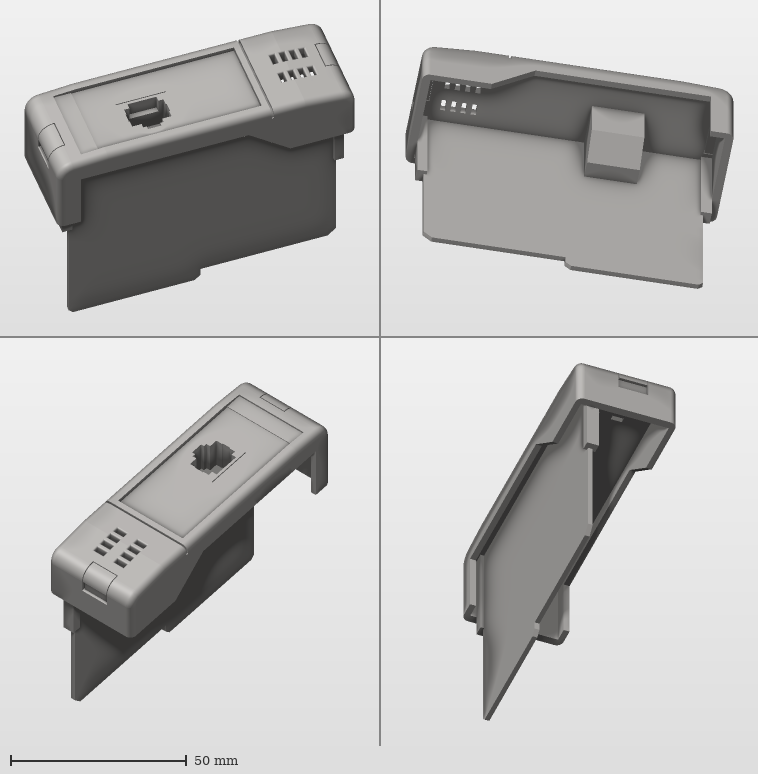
import cadquery as cq
import math


WIDTH = 30.5
LENGTH = 90.0
FRONT_END_DEPTH = 25.0
REAR_END_DEPTH = 17.4
FRONT_SLOPE_LENGTH = 14.9
FRONT_SLOPE_DROP = 1.1
FRONT_CORNER_RADIUS = 4.8
REAR_SLOPE_LENGTH = 15.2
REAR_SLOPE_DROP = 1.5
REAR_CORNER_RADIUS = 4.1
EDGE_RADIUS = 2.1
SIDE_WALL = 1.8
END_WALL = 2.4
CEILING_Z = -3.15

SIDE_OPENING_TOP_Z = -7.1
SIDE_OPENING_FRONT_Y = 6.75
SIDE_OPENING_SLOPE_START_Y = 57.5
SIDE_OPENING_SLOPE_END_Y = 70.1

PANEL_MARGIN = 3.4
PANEL_FRONT_Y = 8.0
PANEL_REAR_Y = 62.6
PANEL_DEPTH = 1.35
PANEL_STEP_Y = 13.4
PANEL_STEP_HEIGHT = 0.3

GROOVE_WIDTH = 0.7
GROOVE_FRONT_Y = 64.4
GROOVE_TOP_DEPTH = 0.8
GROOVE_SIDE_DEPTH = 0.3
GROOVE_END_Z = -2.6

LATCH_WIDTH = 9.1
LATCH_DEPTH = 0.9
LATCH_LENGTH = 5.0
LATCH_SLOT = 0.3
LATCH_BOTTOM_Z = -9.0
FRONT_LATCH_X = 13.0
REAR_LATCH_X = 9.0

WINDOW_ROWS = 4
WINDOW_WIDTH = 3.4
WINDOW_HEIGHT = 1.5
WINDOW_RIM_RADIUS = 0.45
WINDOW_COLUMNS_X = (11.3, 18.7)
WINDOW_FIRST_Y = 71.9
WINDOW_PITCH = 3.0

BOARD_X = 24.3
BOARD_THICKNESS = 1.4
BOARD_FRONT_Y = 4.8
BOARD_REAR_Y = 85.6
BOARD_BOTTOM_Z = -68.1
BOARD_STEP_Y = 44.55
BOARD_STEP_HEIGHT = 4.05
BOARD_FRONT_CHAMFER = 1.3
BOARD_STEP_CHAMFER = 1.6
BOARD_REAR_CHAMFER = 2.4

GUIDE_WIDTH = 3.6
GUIDE_BOTTOM_Z = -31.8
FRONT_GUIDE_INNER_Y = 5.6
REAR_GUIDE_INNER_Y = 84.7

JACK_LEFT_X = 11.9
JACK_FRONT_Y = 23.9
JACK_REAR_Y = 39.15
JACK_OUTER_BOTTOM_Z = -15.1
JACK_INNER_BOTTOM_Z = -20.7
JACK_SLOPE_RUN = 7.6
JACK_GAP = 0.3
SOCKET_DEPTH = 9.9
SOCKET_MAIN_LEFT_X = 14.3
SOCKET_STEPS = ((21.15, 11.9), (22.5, 6.2), (23.6, 4.05))
SOCKET_BULGE_LEFT_X = 16.2
SOCKET_BULGE_RIGHT_X = 19.1
SOCKET_BULGE_WIDTH = 12.4
SOCKET_SLOT_LEFT_X = 12.7
SOCKET_SLOT_WIDTH = 8.7
SOCKET_SLOT_DEPTH = 4.5


def block(x0, x1, y0, y1, z0, z1):
    """Box between two opposite corners."""
    return cq.Workplane("XY").box(x1 - x0, y1 - y0, z1 - z0, centered=False).translate((x0, y0, z0))


def profile_block():
    """Side profile of the housing with its rounded end corners, over the full width."""
    profile = [
        (0, -FRONT_END_DEPTH),
        (0, -FRONT_SLOPE_DROP),
        (FRONT_SLOPE_LENGTH, 0),
        (LENGTH - REAR_SLOPE_LENGTH, 0),
        (LENGTH, -REAR_SLOPE_DROP),
        (LENGTH, -FRONT_END_DEPTH),
    ]
    body = cq.Workplane("YZ").polyline(profile).close().extrude(WIDTH)
    body = body.faces("<Y").edges(">Z").fillet(FRONT_CORNER_RADIUS)
    return body.faces(">Y").edges(">Z").fillet(REAR_CORNER_RADIUS)


def shell():
    """Rounded cover, open below, with the lower edge of its sides cut away."""
    body = profile_block()
    body = body.faces("<X or >X").edges("not <Z").fillet(EDGE_RADIUS)
    cavity = block(SIDE_WALL, WIDTH - SIDE_WALL, END_WALL, LENGTH - END_WALL, -FRONT_END_DEPTH, CEILING_Z)
    side_opening = (
        cq.Workplane("YZ")
        .moveTo(SIDE_OPENING_FRONT_Y, -FRONT_END_DEPTH)
        .lineTo(SIDE_OPENING_FRONT_Y, SIDE_OPENING_TOP_Z)
        .lineTo(SIDE_OPENING_SLOPE_START_Y, SIDE_OPENING_TOP_Z)
        .lineTo(SIDE_OPENING_SLOPE_END_Y, -REAR_END_DEPTH)
        .lineTo(LENGTH, -REAR_END_DEPTH)
        .lineTo(LENGTH, -FRONT_END_DEPTH)
        .close()
        .extrude(WIDTH)
    )
    return body.cut(cavity).cut(side_opening)


def panel_recess():
    """Rectangular recess with a raised strip along its front."""
    left = PANEL_MARGIN
    right = WIDTH - PANEL_MARGIN
    floor = block(left, right, PANEL_STEP_Y, PANEL_REAR_Y, -PANEL_DEPTH, 0)
    strip = block(left, right, PANEL_FRONT_Y, PANEL_STEP_Y, PANEL_STEP_HEIGHT - PANEL_DEPTH, 0)
    return floor.union(strip)


def groove():
    """Narrow groove over the top that runs out just below the rounded edges."""
    rear = GROOVE_FRONT_Y + GROOVE_WIDTH
    band = block(0, WIDTH, GROOVE_FRONT_Y, rear, GROOVE_END_Z, 0)
    core = block(
        GROOVE_SIDE_DEPTH,
        WIDTH - GROOVE_SIDE_DEPTH,
        GROOVE_FRONT_Y,
        rear,
        -FRONT_END_DEPTH,
        -GROOVE_TOP_DEPTH,
    )
    core = core.edges("|Y and >Z").fillet(EDGE_RADIUS)
    return band.cut(core)


def corner_end_z(slope_length, slope_drop, radius):
    """Height at which a rounded end meets its vertical end face."""
    slope_angle = math.atan2(slope_drop, slope_length)
    return -slope_drop - radius * math.tan((math.pi / 2 - slope_angle) / 2)


def latch_slot(x, end):
    """Slot through the wall along both sides and the inner end of a latch; end is its outer y."""
    outer = block(x, x + LATCH_WIDTH, end - LATCH_LENGTH, end + LATCH_LENGTH, LATCH_BOTTOM_Z, 0)
    tongue = block(
        x + LATCH_SLOT,
        x + LATCH_WIDTH - LATCH_SLOT,
        end - LATCH_LENGTH + LATCH_SLOT,
        end + LATCH_LENGTH - LATCH_SLOT,
        LATCH_BOTTOM_Z,
        0,
    )
    return outer.cut(tongue)


def latch_recess(x, end, top_z):
    """Recess in the end face below the rounded part of a latch; end is its outer y."""
    return block(x, x + LATCH_WIDTH, end - LATCH_DEPTH, end + LATCH_DEPTH, LATCH_BOTTOM_Z, top_z)


def latch_cuts():
    """Slots and recesses of the front and rear latches."""
    front_top_z = corner_end_z(FRONT_SLOPE_LENGTH, FRONT_SLOPE_DROP, FRONT_CORNER_RADIUS)
    rear_top_z = corner_end_z(REAR_SLOPE_LENGTH, REAR_SLOPE_DROP, REAR_CORNER_RADIUS)
    cuts = latch_slot(FRONT_LATCH_X, 0)
    cuts = cuts.union(latch_recess(FRONT_LATCH_X, 0, front_top_z))
    cuts = cuts.union(latch_slot(REAR_LATCH_X, LENGTH))
    return cuts.union(latch_recess(REAR_LATCH_X, LENGTH, rear_top_z))


def cut_windows(body):
    """Window openings through the top, with rounded rims."""
    for x in WINDOW_COLUMNS_X:
        for row in range(WINDOW_ROWS):
            y = WINDOW_FIRST_Y + row * WINDOW_PITCH
            window = block(
                x - WINDOW_WIDTH / 2,
                x + WINDOW_WIDTH / 2,
                y - WINDOW_HEIGHT / 2,
                y + WINDOW_HEIGHT / 2,
                CEILING_Z,
                0,
            )
            body = body.cut(window)
            rim_zone = cq.selectors.BoxSelector(
                (x - WINDOW_WIDTH, y - WINDOW_PITCH / 2, CEILING_Z / 2),
                (x + WINDOW_WIDTH, y + WINDOW_PITCH / 2, -CEILING_Z),
            )
            body = body.edges(rim_zone).edges("not |Z").fillet(WINDOW_RIM_RADIUS)
    return body


def guides():
    """Two posts under the ceiling, one at each end of the board."""
    middle = BOARD_X + BOARD_THICKNESS / 2
    left = middle - GUIDE_WIDTH / 2
    right = middle + GUIDE_WIDTH / 2
    front = block(left, right, END_WALL, FRONT_GUIDE_INNER_Y, GUIDE_BOTTOM_Z, CEILING_Z)
    rear = block(left, right, REAR_GUIDE_INNER_Y, LENGTH - END_WALL, GUIDE_BOTTOM_Z, CEILING_Z)
    return front.union(rear)


def board_plate():
    """Circuit board that reaches up to the ceiling, with a stepped, chamfered lower edge."""
    step_z = BOARD_BOTTOM_Z + BOARD_STEP_HEIGHT
    return (
        cq.Workplane("YZ", origin=(BOARD_X, 0, 0))
        .moveTo(BOARD_FRONT_Y, CEILING_Z)
        .lineTo(BOARD_FRONT_Y, BOARD_BOTTOM_Z + BOARD_FRONT_CHAMFER)
        .lineTo(BOARD_FRONT_Y + BOARD_FRONT_CHAMFER, BOARD_BOTTOM_Z)
        .lineTo(BOARD_STEP_Y - BOARD_STEP_CHAMFER, BOARD_BOTTOM_Z)
        .lineTo(BOARD_STEP_Y, BOARD_BOTTOM_Z + BOARD_STEP_CHAMFER)
        .lineTo(BOARD_STEP_Y, step_z)
        .lineTo(BOARD_REAR_Y - BOARD_REAR_CHAMFER, step_z)
        .lineTo(BOARD_REAR_Y, step_z + BOARD_REAR_CHAMFER)
        .lineTo(BOARD_REAR_Y, CEILING_Z)
        .close()
        .extrude(BOARD_THICKNESS)
    )


def socket():
    """Stepped plug opening of the jack, symmetric about the middle of the jack."""
    middle = (JACK_FRONT_Y + JACK_REAR_Y) / 2
    bottom = -PANEL_DEPTH - SOCKET_DEPTH

    def centred_slot(x0, x1, width, z0):
        return block(x0, x1, middle - width / 2, middle + width / 2, z0, -PANEL_DEPTH)

    opening = centred_slot(SOCKET_BULGE_LEFT_X, SOCKET_BULGE_RIGHT_X, SOCKET_BULGE_WIDTH, bottom)
    for right, width in SOCKET_STEPS:
        opening = opening.union(centred_slot(SOCKET_MAIN_LEFT_X, right, width, bottom))
    contact_slot_bottom = -PANEL_DEPTH - SOCKET_SLOT_DEPTH
    return opening.union(
        centred_slot(SOCKET_SLOT_LEFT_X, SOCKET_MAIN_LEFT_X, SOCKET_SLOT_WIDTH, contact_slot_bottom)
    )


def jack():
    """Jack on the left face of the board, flush with the panel floor, with a sloping underside."""
    body = (
        cq.Workplane("XZ", origin=(0, JACK_FRONT_Y, 0))
        .moveTo(JACK_LEFT_X, -PANEL_DEPTH)
        .lineTo(BOARD_X, -PANEL_DEPTH)
        .lineTo(BOARD_X, JACK_INNER_BOTTOM_Z)
        .lineTo(JACK_LEFT_X + JACK_SLOPE_RUN, JACK_INNER_BOTTOM_Z)
        .lineTo(JACK_LEFT_X, JACK_OUTER_BOTTOM_Z)
        .close()
        .extrude(JACK_FRONT_Y - JACK_REAR_Y)
    )
    return body.cut(socket())


def circuit_board():
    """Board and jack as one body."""
    return board_plate().union(jack())


def housing():
    """Cover with its guides, slotted for the board and open around the jack."""
    body = cut_windows(shell())
    body = body.cut(panel_recess())
    body = body.cut(groove())
    body = body.cut(latch_cuts())
    jack_opening = block(JACK_LEFT_X - JACK_GAP, BOARD_X, JACK_FRONT_Y, JACK_REAR_Y, CEILING_Z, 0)
    body = body.cut(jack_opening)
    return body.union(guides().cut(board_plate()))


result = cq.Compound.makeCompound([housing().solids().val(), circuit_board().solids().val()])